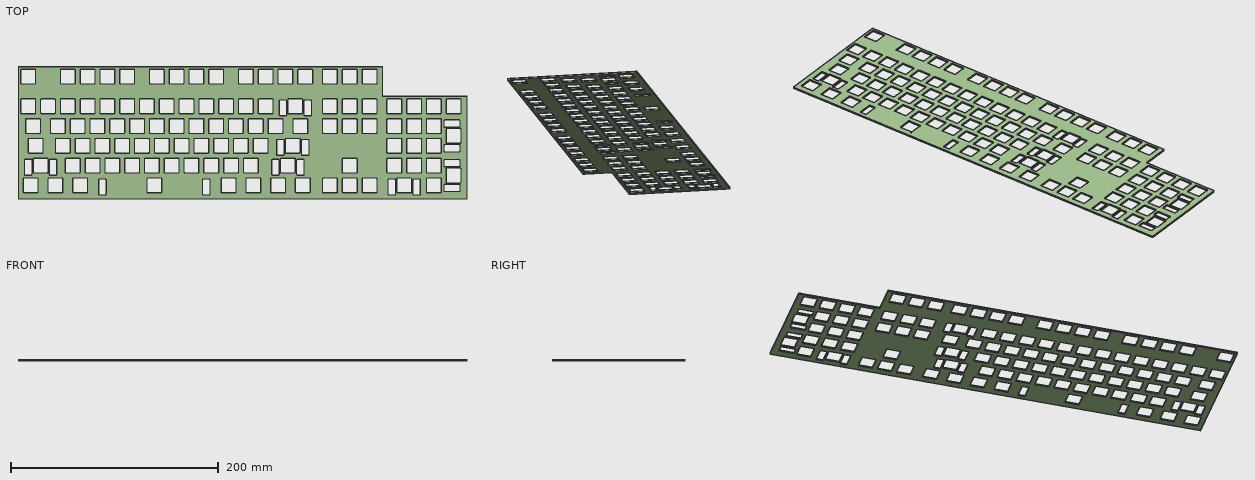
import cadquery as cq

length = 431.98
width = 127.41
thickness = 1.5
step_x = 350.6
step_depth = 28.4

unit = 19.05
left_overhang = 0.08
top_overhang = 0.05
field_left = -left_overhang
field_top = width + top_overhang
switch_size = 14.0
corner_radius = 0.5

stabilizer_width = 6.9
stabilizer_height = 15.0
stabilizer_drop = 1.55
long_key_reach = 11.93
space_bar_reach = 50.0

function_row = 0.5
number_row = 2.0
upper_row = 3.0
home_row = 4.0
lower_row = 5.0
bottom_row = 6.0


def run(first, count, pitch=1.0):
    """Centres of equal keys standing side by side."""
    return [first + i * pitch for i in range(count)]


nav_columns = run(15.75, 3)
pad_columns = run(19.0, 3)
pad_right = 22.0
backspace = 14.0
enter = 13.875
left_shift = 1.125
right_shift = 13.625
space_bar = 6.875
pad_zero = 19.5
pad_plus_row = (upper_row + home_row) / 2
pad_enter_row = (lower_row + bottom_row) / 2

switch_rows = {
    function_row: [0.5] + run(2.5, 4) + run(7.0, 4) + run(11.5, 4) + nav_columns,
    number_row: run(0.5, 13) + [backspace] + nav_columns + pad_columns + [pad_right],
    upper_row: [0.75] + run(2.0, 12) + [14.25] + nav_columns + pad_columns,
    pad_plus_row: [pad_right],
    home_row: [0.875] + run(2.25, 11) + [enter] + pad_columns,
    lower_row: [left_shift] + run(2.75, 10) + [right_shift, nav_columns[1]] + pad_columns,
    pad_enter_row: [pad_right],
    bottom_row: run(0.625, 3, 1.25) + [space_bar] + run(10.625, 4, 1.25)
    + nav_columns + [pad_zero, pad_columns[2]],
}

wide_keys = [
    (backspace, number_row, long_key_reach),
    (enter, home_row, long_key_reach),
    (left_shift, lower_row, long_key_reach),
    (right_shift, lower_row, long_key_reach),
    (space_bar, bottom_row, space_bar_reach),
    (pad_zero, bottom_row, long_key_reach),
]

tall_keys = [(pad_right, pad_plus_row), (pad_right, pad_enter_row)]


def key_centre(column, row):
    """Position on the plate of a key given in key units."""
    return field_left + column * unit, field_top - row * unit


def make_plate():
    outline = [
        (0, 0),
        (length, 0),
        (length, width - step_depth),
        (step_x, width - step_depth),
        (step_x, width),
        (0, width),
    ]
    return cq.Workplane("XY").polyline(outline).close().extrude(thickness)


def make_windows(centres, size_x, size_y):
    """Rectangular cutters with rounded corners, through the full plate thickness."""
    blocks = cq.Workplane("XY").pushPoints(centres).rect(size_x, size_y).extrude(thickness)
    return blocks.edges("|Z").fillet(corner_radius)


def make_switch_windows():
    centres = [key_centre(column, row) for row, columns in switch_rows.items() for column in columns]
    return make_windows(centres, switch_size, switch_size)


def make_wide_key_stabilizers():
    centres = []
    for column, row, reach in wide_keys:
        x, y = key_centre(column, row)
        for side in (-1, 1):
            centres.append((x + side * reach, y - stabilizer_drop))
    return make_windows(centres, stabilizer_width, stabilizer_height)


def make_tall_key_stabilizers():
    centres = []
    for column, row in tall_keys:
        x, y = key_centre(column, row)
        for side in (-1, 1):
            centres.append((x - stabilizer_drop, y + side * long_key_reach))
    return make_windows(centres, stabilizer_height, stabilizer_width)


result = (
    make_plate()
    .cut(make_switch_windows())
    .cut(make_wide_key_stabilizers())
    .cut(make_tall_key_stabilizers())
)